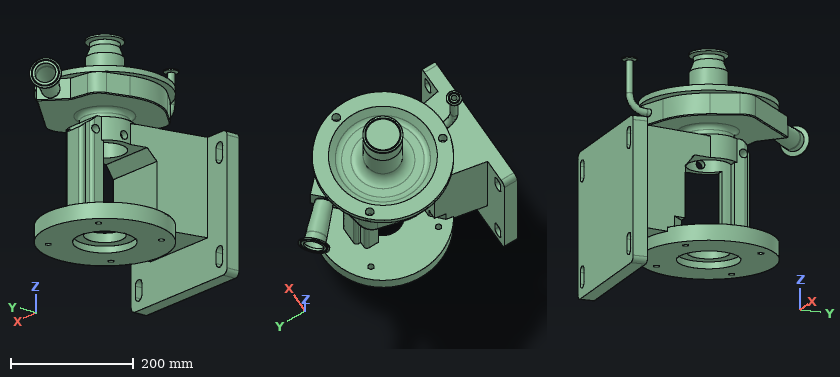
import cadquery as cq
import math

TOTAL_HEIGHT = 403.0
OVERLAP = 2.0

PLATE_SIZE = 250.0
PLATE_THICKNESS = 25.5
PLATE_BACK_Y = -180.0
PLATE_FRONT_Y = PLATE_BACK_Y + PLATE_THICKNESS
PLATE_CORNER_RADIUS = 10.0
SLOT_LENGTH = 36.5
SLOT_WIDTH = 17.0
SLOT_SPACING_X = 210.5
SLOT_SPACING_Z = 179.7

HEAD_RADIUS = 50.5
HEAD_BORE_RADIUS = 37.0
HEAD_BOTTOM_Z = 213.0
HEAD_TOP_Z = 253.5
HEAD_HOLE_RADIUS = 7.3
HEAD_HOLE_Z = 225.5

BASE_RADIUS = 115.3
BASE_BOTTOM_Z = 54.5
BASE_TOP_Z = 82.5
BASE_BORE_RADIUS = 34.5
BASE_RECESS_RADIUS = 52.5
BASE_RECESS_DEPTH = 11.5
BASE_HOLE_RADIUS = 5.0
BASE_HOLE_CIRCLE_RADIUS = 92.5
BASE_HOLE_ANGLES = (45.0, 135.0, 225.0, 315.0)

WEB_ROOT_HALF_WIDTH = 74.5
WEB_TIP_HALF_WIDTH = 48.0
WEB_TIP_Y = -15.0
WEB_BOTTOM_Z = 75.8
WEB_INNER_Y = -63.0
WEB_CHAMFER_Y = 17.7
WEB_CHAMFER_Z = 21.0
NOTCH_BACK_Y = -83.0
NOTCH_TOP_Z = 103.5

COLUMN_HALF_WIDTH = 35.5
COLUMN_INNER_Y = 31.0
COLUMN_STEP_Y = 56.0
COLUMN_OUTER_Y = 66.0
COLUMN_RIB_HALF_WIDTH = 20.0
COLUMN_CORNER_RADIUS = 6.0
COLUMN_CHAMFER_Y = 21.8
COLUMN_CHAMFER_Z = 18.5
COLUMN_HOLE_RADIUS = 7.3
COLUMN_HOLE_Y = 47.0
COLUMN_HOLE_Z = 230.0

NECK_RADIUS = 41.5
NECK_FILLET_RADIUS = 9.0

CASING_BOTTOM_Z = 272.0
CASING_TOP_Z = 308.5
CASING_MID_Z = (CASING_BOTTOM_Z + CASING_TOP_Z) / 2
CASING_BOTTOM_CHAMFER = 1.5
CASING_RADIUS_LARGE = 102.5
CASING_RADIUS_SMALL = 98.5
LARGE_ARC_ANGLES = (165.0, 225.0)
SMALL_ARC_ANGLES = (290.0, 340.0)
OUTLET_FLAT_ANGLE = 45.0
NOTCH_FLAT_ANGLE = 100.0
CASING_CORNER_RADIUS = 29.0
BOLT_ANGLES = (15.0, 135.0, 255.0)
BOLT_CIRCLE_RADIUS = 102.5
BOLT_HOLE_RADIUS = 7.0
BOLT_HOLE_DEPTH = 24.0

FLANGE_RADIUS = 115.3
FLANGE_TOP_Z = 318.8
DISH_RIM_RADIUS = 88.5
DISH_WALL_RADIUS = 77.5
DISH_FLOOR_OUTER_RADIUS = 67.5
DISH_FLOOR_INNER_RADIUS = 52.0
DISH_DEPTH = 15.5

INLET_RADIUS = 32.2
INLET_NECK_RADIUS = 25.5
INLET_SHOULDER_Z = 371.0
INLET_NECK_Z = 388.0
INLET_FERRULE_RADIUS = 32.5
INLET_FERRULE_THICKNESS = 3.5
INLET_FERRULE_CONE_HEIGHT = 3.2

OUTLET_DIRECTION_ANGLE = 135.0
OUTLET_BLOCK_END = 87.5
OUTLET_OFFSET = 79.0
OUTLET_END = 169.0
OUTLET_COLLAR_RADIUS = 13.5
OUTLET_COLLAR_LENGTH = 2.0
OUTLET_ROOT_RADIUS = 15.5
OUTLET_NECK_RADIUS = 18.0
OUTLET_NECK_LENGTH = 18.0
OUTLET_FERRULE_RADIUS = 26.0
OUTLET_FERRULE_THICKNESS = 2.5
OUTLET_FERRULE_CONE_HEIGHT = 2.5
OUTLET_WALL = 1.2

DRAIN_RADIUS = 6.5
DRAIN_BORE_RADIUS = 5.0
DRAIN_Z = 292.5
DRAIN_Y = -138.2
DRAIN_BEND_RADIUS = 29.5
DRAIN_TOP_Z = 381.2
DRAIN_FERRULE_RADIUS = 13.0
DRAIN_FERRULE_THICKNESS = 2.5
DRAIN_FERRULE_CONE_HEIGHT = 2.0

GROOVE_WIDTH = 1.5
GROOVE_DEPTH = 1.0
GROOVE_EDGE = 3.2


def polar(radius, angle):
    """Point in the XY plane at the given radius and angle in degrees."""
    return (radius * math.cos(math.radians(angle)), radius * math.sin(math.radians(angle)))


def cylinder(radius, bottom, top, x=0.0, y=0.0):
    """Vertical cylinder between two heights."""
    return cq.Workplane("XY", origin=(x, y, bottom)).circle(radius).extrude(top - bottom)


def revolve_z(profile):
    """Turn a closed (radius, height) wire about the Z axis."""
    return profile.close().revolve(360, (0, 0, 0), (0, 1, 0))


def cross_hole(radius, y, z, start_x, end_x):
    """Cylinder along X between two places."""
    return cq.Workplane("YZ", origin=(start_x, y, z)).circle(radius).extrude(end_x - start_x)


def gasket_groove(ferrule_radius, face_z):
    """Shallow ring cut into the face of a clamp ferrule."""
    outer = ferrule_radius - GROOVE_EDGE
    ring = cq.Workplane("XY", origin=(0, 0, face_z)).circle(outer).circle(outer - GROOVE_WIDTH)
    return ring.extrude(-GROOVE_DEPTH)


def make_plate():
    """Square mounting plate with a slot at each corner."""
    centre_z = PLATE_SIZE / 2
    plate = (
        cq.Workplane("XY")
        .box(PLATE_SIZE, PLATE_THICKNESS, PLATE_SIZE)
        .edges("|Y")
        .fillet(PLATE_CORNER_RADIUS)
        .faces("<Y")
        .workplane()
        .rarray(SLOT_SPACING_X, SLOT_SPACING_Z, 2, 2)
        .slot2D(SLOT_LENGTH, SLOT_WIDTH, 90)
        .cutThruAll()
    )
    return plate.translate((0, (PLATE_BACK_Y + PLATE_FRONT_Y) / 2, centre_z))


def make_web():
    """Bracket web: side profile trimmed to a plan that tapers toward the head."""
    root_y = PLATE_FRONT_Y - OVERLAP
    side = (
        cq.Workplane("YZ")
        .moveTo(root_y, WEB_BOTTOM_Z)
        .lineTo(WEB_INNER_Y, WEB_BOTTOM_Z)
        .lineTo(WEB_INNER_Y, HEAD_BOTTOM_Z - WEB_CHAMFER_Z)
        .lineTo(WEB_INNER_Y + WEB_CHAMFER_Y, HEAD_BOTTOM_Z)
        .lineTo(WEB_TIP_Y, HEAD_BOTTOM_Z)
        .lineTo(WEB_TIP_Y, PLATE_SIZE)
        .lineTo(root_y, PLATE_SIZE)
        .close()
        .extrude(PLATE_SIZE, both=True)
    )
    plan = (
        cq.Workplane("XY")
        .polyline([
            (-WEB_ROOT_HALF_WIDTH, root_y),
            (WEB_ROOT_HALF_WIDTH, root_y),
            (WEB_ROOT_HALF_WIDTH, PLATE_FRONT_Y),
            (WEB_TIP_HALF_WIDTH, WEB_TIP_Y),
            (-WEB_TIP_HALF_WIDTH, WEB_TIP_Y),
            (-WEB_ROOT_HALF_WIDTH, PLATE_FRONT_Y),
        ])
        .close()
        .extrude(PLATE_SIZE)
    )
    web = side.intersect(plan)
    side_slope = (WEB_ROOT_HALF_WIDTH - WEB_TIP_HALF_WIDTH) / (WEB_TIP_Y - PLATE_FRONT_Y)
    notch_x = WEB_ROOT_HALF_WIDTH - side_slope * (NOTCH_BACK_Y - PLATE_FRONT_Y)
    notch_inner_x = notch_x - (WEB_INNER_Y - NOTCH_BACK_Y)
    for sign in (-1, 1):
        notch = (
            cq.Workplane("XY", origin=(0, 0, BASE_TOP_Z))
            .polyline([
                (sign * notch_inner_x, WEB_INNER_Y),
                (sign * notch_x, NOTCH_BACK_Y),
                (sign * WEB_ROOT_HALF_WIDTH, NOTCH_BACK_Y),
                (sign * WEB_ROOT_HALF_WIDTH, WEB_INNER_Y),
            ])
            .close()
            .extrude(NOTCH_TOP_Z - BASE_TOP_Z)
        )
        web = web.cut(notch)
    return web


def column_bar(half_width, outer_y):
    """Upright bar from the column's inner face, its two outer corners rounded."""
    bottom = BASE_TOP_Z - OVERLAP
    bar = cq.Workplane("XY", origin=(0, COLUMN_INNER_Y, bottom)).box(
        2 * half_width, outer_y - COLUMN_INNER_Y, HEAD_TOP_Z - bottom, centered=(True, False, False)
    )
    return bar.edges("|Z and >Y").fillet(COLUMN_CORNER_RADIUS)


def make_column():
    """Wide bar with a narrower rib along its outer face."""
    bar = column_bar(COLUMN_HALF_WIDTH, COLUMN_STEP_Y)
    return bar.union(column_bar(COLUMN_RIB_HALF_WIDTH, COLUMN_OUTER_Y))


def make_column_chamfer():
    """Wedge removed from the outer top edge of the column and the head."""
    return (
        cq.Workplane("YZ")
        .polyline([
            (COLUMN_OUTER_Y - COLUMN_CHAMFER_Y, HEAD_TOP_Z),
            (COLUMN_OUTER_Y, HEAD_TOP_Z - COLUMN_CHAMFER_Z),
            (COLUMN_OUTER_Y, HEAD_TOP_Z),
        ])
        .close()
        .extrude(HEAD_RADIUS, both=True)
    )


def make_base():
    base = cylinder(BASE_RADIUS, BASE_BOTTOM_Z, BASE_TOP_Z)
    base = base.cut(cylinder(BASE_BORE_RADIUS, BASE_BOTTOM_Z, BASE_TOP_Z))
    return base.cut(cylinder(BASE_RECESS_RADIUS, BASE_BOTTOM_Z, BASE_BOTTOM_Z + BASE_RECESS_DEPTH))


def make_support():
    """Plate, web, column, bearing head and base disc as one body."""
    head = cylinder(HEAD_RADIUS, HEAD_BOTTOM_Z, HEAD_TOP_Z)
    frame = make_web().union(make_column()).union(head)
    frame = frame.cut(cylinder(HEAD_BORE_RADIUS, BASE_TOP_Z, HEAD_TOP_Z))
    frame = frame.cut(make_column_chamfer())
    frame = frame.cut(cross_hole(HEAD_HOLE_RADIUS, 0, HEAD_HOLE_Z, -HEAD_RADIUS, 0))
    frame = frame.cut(
        cross_hole(COLUMN_HOLE_RADIUS, COLUMN_HOLE_Y, COLUMN_HOLE_Z, -HEAD_RADIUS, HEAD_RADIUS)
    )
    support = make_plate().union(frame).union(make_base())
    for angle in BASE_HOLE_ANGLES:
        x, y = polar(BASE_HOLE_CIRCLE_RADIUS, angle)
        support = support.cut(cylinder(BASE_HOLE_RADIUS, BASE_BOTTOM_Z, BASE_TOP_Z, x, y))
    return support


def outlet_point(along, offset):
    """Plan point at a distance along the outlet direction and an offset to its right."""
    x, y = polar(along, OUTLET_DIRECTION_ANGLE)
    dx, dy = polar(offset, OUTLET_DIRECTION_ANGLE - 90)
    return (x + dx, y + dy)


def flat_corner(first, second):
    """Crossing point of two straight sides, each given as (radius, normal angle)."""
    (first_radius, first_angle), (second_radius, second_angle) = first, second
    turn = math.radians(second_angle - first_angle)
    along = (second_radius - first_radius * math.cos(turn)) / math.sin(turn)
    x, y = polar(first_radius, first_angle)
    dx, dy = polar(along, first_angle + 90)
    return (x + dx, y + dy)


def make_casing():
    """Two arcs about the pump axis, joined by tangent flats that meet at the bolt corners."""
    large_start, large_end = LARGE_ARC_ANGLES
    small_start, small_end = SMALL_ARC_ANGLES
    outlet_flat = (CASING_RADIUS_LARGE, OUTLET_FLAT_ANGLE)
    outlet_face = (OUTLET_BLOCK_END, OUTLET_DIRECTION_ANGLE)
    notch_flat = (CASING_RADIUS_SMALL, NOTCH_FLAT_ANGLE)
    bolt_corners = [
        flat_corner((CASING_RADIUS_SMALL, small_end), (CASING_RADIUS_LARGE, OUTLET_FLAT_ANGLE + 360)),
        flat_corner(notch_flat, (CASING_RADIUS_LARGE, large_start)),
        flat_corner((CASING_RADIUS_LARGE, large_end), (CASING_RADIUS_SMALL, small_start)),
    ]
    casing = (
        cq.Workplane("XY", origin=(0, 0, CASING_BOTTOM_Z))
        .moveTo(*bolt_corners[0])
        .lineTo(*flat_corner(outlet_flat, outlet_face))
        .lineTo(*flat_corner(outlet_face, notch_flat))
        .lineTo(*bolt_corners[1])
        .lineTo(*polar(CASING_RADIUS_LARGE, large_start))
        .threePointArc(
            polar(CASING_RADIUS_LARGE, (large_start + large_end) / 2),
            polar(CASING_RADIUS_LARGE, large_end),
        )
        .lineTo(*bolt_corners[2])
        .lineTo(*polar(CASING_RADIUS_SMALL, small_start))
        .threePointArc(
            polar(CASING_RADIUS_SMALL, (small_start + small_end) / 2),
            polar(CASING_RADIUS_SMALL, small_end),
        )
        .close()
        .extrude(CASING_TOP_Z - CASING_BOTTOM_Z)
    )
    for x, y in bolt_corners:
        corner = cq.selectors.NearestToPointSelector((x, y, CASING_MID_Z))
        casing = casing.edges("|Z").edges(corner).fillet(CASING_CORNER_RADIUS)
    return casing.faces("<Z").chamfer(CASING_BOTTOM_CHAMFER)


def make_neck():
    profile = (
        cq.Workplane("XZ")
        .moveTo(0, HEAD_TOP_Z - OVERLAP)
        .lineTo(NECK_RADIUS, HEAD_TOP_Z - OVERLAP)
        .lineTo(NECK_RADIUS, CASING_BOTTOM_Z - NECK_FILLET_RADIUS)
        .tangentArcPoint((NECK_FILLET_RADIUS, NECK_FILLET_RADIUS))
        .lineTo(NECK_RADIUS + NECK_FILLET_RADIUS, CASING_BOTTOM_Z + OVERLAP)
        .lineTo(0, CASING_BOTTOM_Z + OVERLAP)
    )
    return revolve_z(profile)


def make_dish():
    """Ring-shaped hollow between the flange rim and the inlet tube."""
    floor_z = FLANGE_TOP_Z - DISH_DEPTH
    wall_foot_z = FLANGE_TOP_Z - (DISH_RIM_RADIUS - DISH_WALL_RADIUS)
    profile = (
        cq.Workplane("XZ")
        .moveTo(DISH_RIM_RADIUS, FLANGE_TOP_Z)
        .lineTo(DISH_WALL_RADIUS, wall_foot_z)
        .tangentArcPoint((DISH_FLOOR_OUTER_RADIUS, floor_z), relative=False)
        .lineTo(DISH_FLOOR_INNER_RADIUS, floor_z)
        .tangentArcPoint((INLET_RADIUS, FLANGE_TOP_Z), relative=False)
    )
    return revolve_z(profile)


def make_inlet():
    ferrule_z = TOTAL_HEIGHT - INLET_FERRULE_THICKNESS
    profile = (
        cq.Workplane("XZ")
        .moveTo(0, CASING_BOTTOM_Z + OVERLAP)
        .lineTo(INLET_RADIUS, CASING_BOTTOM_Z + OVERLAP)
        .lineTo(INLET_RADIUS, INLET_SHOULDER_Z)
        .lineTo(INLET_NECK_RADIUS, INLET_NECK_Z)
        .lineTo(INLET_NECK_RADIUS, ferrule_z - INLET_FERRULE_CONE_HEIGHT)
        .lineTo(INLET_FERRULE_RADIUS, ferrule_z)
        .lineTo(INLET_FERRULE_RADIUS, TOTAL_HEIGHT)
        .lineTo(0, TOTAL_HEIGHT)
    )
    return revolve_z(profile).cut(gasket_groove(INLET_FERRULE_RADIUS, TOTAL_HEIGHT))


def make_outlet():
    """Outlet tube, built upright from Z = 0 and then laid along the outlet direction."""
    length = OUTLET_END - OUTLET_BLOCK_END
    ferrule_z = length - OUTLET_FERRULE_THICKNESS
    neck_z = length - OUTLET_NECK_LENGTH
    outside = (
        cq.Workplane("XZ")
        .moveTo(0, -OVERLAP)
        .lineTo(OUTLET_COLLAR_RADIUS, -OVERLAP)
        .lineTo(OUTLET_COLLAR_RADIUS, OUTLET_COLLAR_LENGTH)
        .lineTo(OUTLET_ROOT_RADIUS, OUTLET_COLLAR_LENGTH)
        .lineTo(OUTLET_NECK_RADIUS, neck_z)
        .lineTo(OUTLET_NECK_RADIUS, ferrule_z - OUTLET_FERRULE_CONE_HEIGHT)
        .lineTo(OUTLET_FERRULE_RADIUS, ferrule_z)
        .lineTo(OUTLET_FERRULE_RADIUS, length)
        .lineTo(0, length)
    )
    bore = (
        cq.Workplane("XZ")
        .lineTo(OUTLET_COLLAR_RADIUS - OUTLET_WALL, 0)
        .lineTo(OUTLET_NECK_RADIUS - OUTLET_WALL, neck_z)
        .lineTo(OUTLET_NECK_RADIUS - OUTLET_WALL, length)
        .lineTo(0, length)
    )
    groove = gasket_groove(OUTLET_FERRULE_RADIUS, length)
    tube = revolve_z(outside).cut(revolve_z(bore)).cut(groove)
    root_x, root_y = outlet_point(OUTLET_BLOCK_END, OUTLET_OFFSET)
    tube = tube.rotate((0, 0, 0), (0, 1, 0), 90)
    tube = tube.rotate((0, 0, 0), (0, 0, 1), OUTLET_DIRECTION_ANGLE)
    return tube.translate((root_x, root_y, CASING_MID_Z))


def drain_path(start_y):
    """Centre line: out of the casing, round the bend and up to the ferrule."""
    bend_y = DRAIN_Y + DRAIN_BEND_RADIUS
    bend_z = DRAIN_Z + DRAIN_BEND_RADIUS
    reach = DRAIN_BEND_RADIUS * math.sqrt(0.5)
    return (
        cq.Workplane("YZ")
        .moveTo(start_y, DRAIN_Z)
        .lineTo(bend_y, DRAIN_Z)
        .threePointArc((bend_y - reach, bend_z - reach), (DRAIN_Y, bend_z))
        .lineTo(DRAIN_Y, DRAIN_TOP_Z)
    )


def drain_sweep(radius):
    """Round bar along the drain centre line, starting inside the casing wall."""
    start_y = -CASING_RADIUS_SMALL
    return cq.Workplane("XZ", origin=(0, start_y, DRAIN_Z)).circle(radius).sweep(drain_path(start_y))


def make_drain():
    ferrule_z = DRAIN_TOP_Z - DRAIN_FERRULE_THICKNESS
    ferrule = revolve_z(
        cq.Workplane("XZ")
        .moveTo(0, ferrule_z - DRAIN_FERRULE_CONE_HEIGHT)
        .lineTo(DRAIN_RADIUS, ferrule_z - DRAIN_FERRULE_CONE_HEIGHT)
        .lineTo(DRAIN_FERRULE_RADIUS, ferrule_z)
        .lineTo(DRAIN_FERRULE_RADIUS, DRAIN_TOP_Z)
        .lineTo(0, DRAIN_TOP_Z)
    )
    ferrule = ferrule.cut(gasket_groove(DRAIN_FERRULE_RADIUS, DRAIN_TOP_Z))
    return drain_sweep(DRAIN_RADIUS).union(ferrule.translate((0, DRAIN_Y, 0)))


def make_pump():
    """Neck, casing, cover flange and the three tubes as one body."""
    flange = cylinder(FLANGE_RADIUS, CASING_TOP_Z, FLANGE_TOP_Z)
    body = make_casing().union(flange).cut(make_dish()).union(make_neck())
    for angle in BOLT_ANGLES:
        x, y = polar(BOLT_CIRCLE_RADIUS, angle)
        body = body.cut(cylinder(BOLT_HOLE_RADIUS, FLANGE_TOP_Z - BOLT_HOLE_DEPTH, FLANGE_TOP_Z, x, y))
    body = body.union(make_inlet()).union(make_outlet()).union(make_drain())
    return body.cut(drain_sweep(DRAIN_BORE_RADIUS))


result = make_support().union(make_pump())